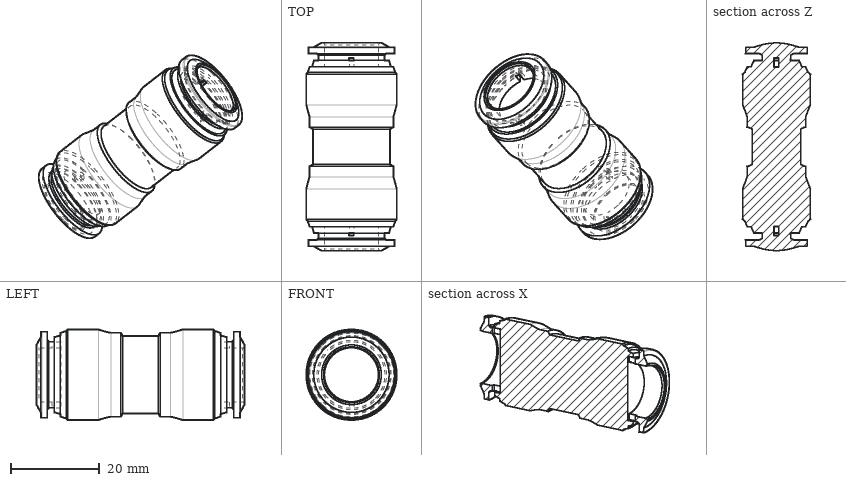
import cadquery as cq

half_length = 23.5

nose_radius = 6.75
nose_base_radius = 8.5
flange_radius = 9.75
flange_front = 1.0
flange_back = 2.5
flange_rounding = 0.2
neck_radius = 7.5
neck_flare = 0.35

ring_front = 4.0
ring_front_radius = 8.5
ring_back = 5.4
ring_back_radius = 8.9

body_front_radius = 9.45
body_shoulder = 6.7
body_shoulder_radius = 9.9
body_start = 7.1
body_radius = 10.25
body_end = 14.0
collar_start = 16.75
collar_radius = 9.5
collar_end = 19.05
waist_start = 19.5
waist_radius = 8.75

bore_radius = 6.1
mouth_radius = 6.3
mouth_taper_depth = 0.5
bore_depth = 5.5

slot_width = 1.0
slot_start = 3.5

rim_tolerance = 0.01


def outer_body():
    """Revolve the whole stepped outline, symmetric about Y = 0, around the Y axis."""
    radius_at_depth = [
        (nose_radius, 0),
        (nose_base_radius, flange_front),
        (flange_radius, flange_front),
        (flange_radius, flange_back),
        (neck_radius + neck_flare, flange_back),
        (neck_radius, flange_back + neck_flare),
        (neck_radius, ring_front),
        (ring_front_radius, ring_front),
        (ring_back_radius, ring_back),
        (body_front_radius, ring_back),
        (body_shoulder_radius, body_shoulder),
        (body_radius, body_start),
        (body_radius, body_end),
        (collar_radius, collar_start),
        (collar_radius, collar_end),
        (waist_radius, waist_start),
    ]
    upper = [(radius, half_length - depth) for radius, depth in radius_at_depth]
    lower = [(radius, -y) for radius, y in reversed(upper)]
    outline = [(0, half_length)] + upper + lower + [(0, -half_length)]
    return cq.Workplane("XY").polyline(outline).close().revolve(360, (0, 0), (0, 1))


def round_flange(body, side):
    """Round the front rim of the flange at the +Y (side = 1) or -Y (side = -1) end."""
    rim_y = side * (half_length - flange_front)
    corner_low = (-rim_tolerance, rim_y - rim_tolerance, -rim_tolerance)
    corner_high = (rim_tolerance, rim_y + rim_tolerance, rim_tolerance)
    front_circles = body.edges(cq.selectors.BoxSelector(corner_low, corner_high))
    return front_circles.edges(cq.selectors.RadiusNthSelector(-1)).fillet(flange_rounding)


def bore(side):
    """Blind bore with its tapered mouth at one end."""
    outline = [
        (0, side * half_length),
        (mouth_radius, side * half_length),
        (bore_radius, side * (half_length - mouth_taper_depth)),
        (bore_radius, side * (half_length - bore_depth)),
        (0, side * (half_length - bore_depth)),
    ]
    return cq.Workplane("XY").polyline(outline).close().revolve(360, (0, 0), (0, 1))


def slot_pair(side):
    """Box across the bore that opens the neck wall at the top and bottom."""
    length = bore_depth - slot_start
    middle = side * (half_length - slot_start - length / 2)
    return cq.Workplane("XY").box(slot_width, length, 2 * neck_radius).translate((0, middle, 0))


result = outer_body()
for end_side in (1, -1):
    result = round_flange(result, end_side)
    result = result.cut(bore(end_side)).cut(slot_pair(end_side))